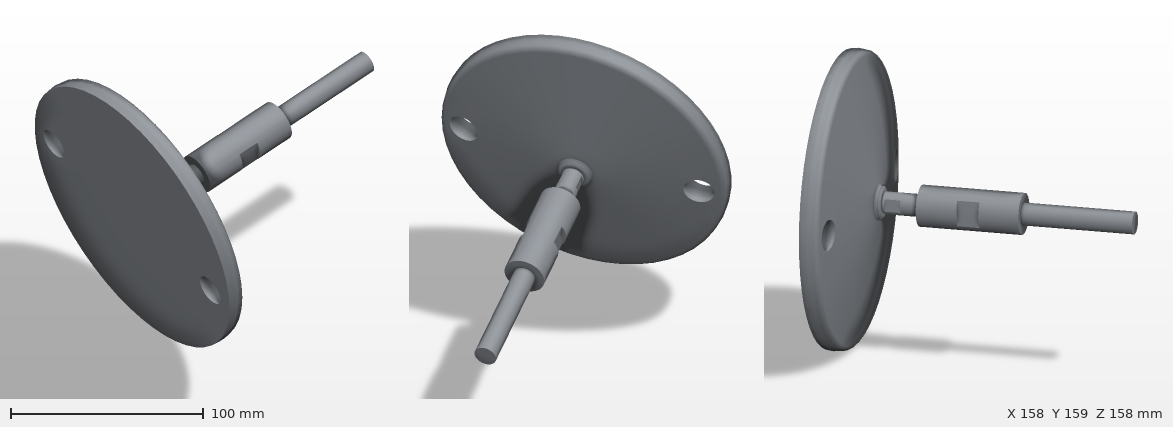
import cadquery as cq
import math

total_height = 159.0

base_radius = 79.0
rim_inset = 0.5
rim_widest_y = 4.0
rim_top_y = 7.2
shoulder_fillet = 3.2
cone_top_radius = 9.5
cone_top_y = 21.0

neck_waist_radius = 8.3
neck_waist_y = 22.3
neck_lip_radius = 8.7
neck_lip_y = 23.0
neck_top_radius = 7.5
neck_top_y = 23.8

hole_diameter = 16.5
hole_offset = 63.0
hole_cut_length = 63.6

spindle_diameter = 12.0
spindle_chamfer = 0.6
spindle_flat_bottom = 25.6
spindle_flat_top = 34.0
spindle_across_flats = 9.9

sleeve_diameter = 22.0
sleeve_bottom = 43.9
sleeve_top = 99.0
sleeve_flat_bottom = 65.7
sleeve_flat_top = 77.6
sleeve_across_flats = 17.0


def rod(diameter, bottom, top):
    """Solid cylinder on the Y axis."""
    plane = cq.Plane(origin=(0, bottom, 0), xDir=(1, 0, 0), normal=(0, 1, 0))
    return cq.Workplane(plane).circle(diameter / 2).extrude(top - bottom)


def cut_flats(body, diameter, across_flats, bottom, top):
    """Cut two opposite wrench flats facing -X and +X."""
    height = top - bottom
    for side in (-1, 1):
        block_center_x = side * (across_flats + diameter) / 2
        block = cq.Workplane("XY").box(diameter, height, diameter)
        body = body.cut(block.translate((block_center_x, bottom + height / 2, 0)))
    return body


def make_base():
    rim_edge_radius = base_radius - rim_inset

    arc_center_x = rim_edge_radius - shoulder_fillet
    arc_center_y = rim_top_y
    span_x = arc_center_x - cone_top_radius
    span_y = cone_top_y - arc_center_y
    cone_angle = math.atan2(span_y, span_x) - math.asin(shoulder_fillet / math.hypot(span_x, span_y))
    arc_sweep = math.pi / 2 - cone_angle

    def arc_point(angle):
        return (
            arc_center_x + shoulder_fillet * math.cos(angle),
            arc_center_y + shoulder_fillet * math.sin(angle),
        )

    base = (
        cq.Workplane("XY")
        .lineTo(rim_edge_radius, 0)
        .lineTo(base_radius, rim_widest_y)
        .lineTo(rim_edge_radius, rim_top_y)
        .threePointArc(arc_point(arc_sweep / 2), arc_point(arc_sweep))
        .lineTo(cone_top_radius, cone_top_y)
        .lineTo(neck_waist_radius, neck_waist_y)
        .lineTo(neck_lip_radius, neck_lip_y)
        .lineTo(neck_top_radius, neck_top_y)
        .lineTo(0, neck_top_y)
        .close()
        .revolve(360, (0, 0, 0), (0, 1, 0))
    )

    for side in (-1, 1):
        axis = cq.Vector(side * math.sin(cone_angle), math.cos(cone_angle), 0)
        start = cq.Vector(side * hole_offset, 0, 0) - axis * (hole_cut_length / 2)
        base = base.cut(cq.Solid.makeCylinder(hole_diameter / 2, hole_cut_length, start, axis))
    return base


def make_spindle():
    """Rod standing on the neck and running through the sleeve."""
    spindle = rod(spindle_diameter, neck_top_y, total_height)
    spindle = spindle.faces("<Y").chamfer(spindle_chamfer)
    return cut_flats(
        spindle, spindle_diameter, spindle_across_flats, spindle_flat_bottom, spindle_flat_top
    )


def make_sleeve():
    sleeve = rod(sleeve_diameter, sleeve_bottom, sleeve_top)
    sleeve = sleeve.cut(rod(spindle_diameter, sleeve_bottom, sleeve_top))
    return cut_flats(
        sleeve, sleeve_diameter, sleeve_across_flats, sleeve_flat_bottom, sleeve_flat_top
    )


base = make_base()
spindle = make_spindle()
sleeve = make_sleeve()

result = cq.Compound.makeCompound(
    [base.solids().val(), spindle.solids().val(), sleeve.solids().val()]
)